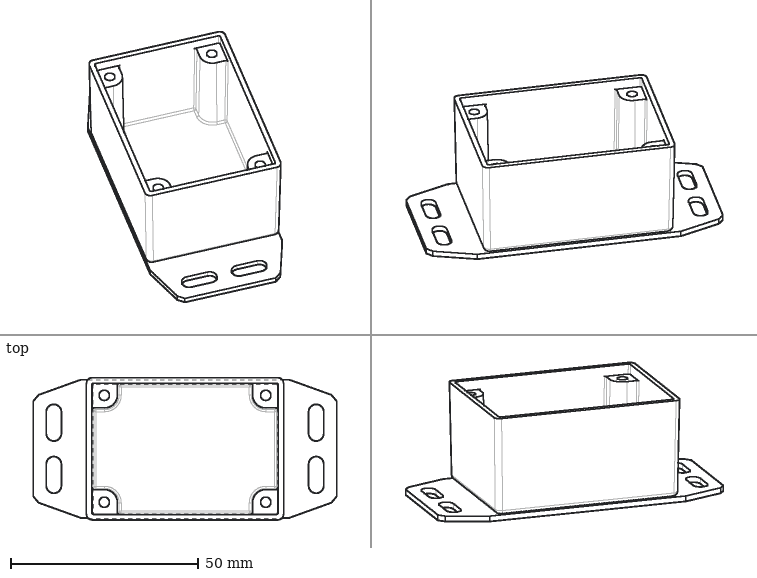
import cadquery as cq
import math

plate_length = 81.0
total_height = 28.5
plate_thickness = 1.5

plate_width = 36.95
wide_length = 55.6
chamfer_start_length = 78.1
chamfer_start_width = 28.85
end_width = 25.45

slot_width = 4.0
slot_length = 9.7
slot_spacing_x = 70.0
slot_spacing_y = 13.9

box_length = 52.6
box_width = 38.0
wall = 1.45
floor_thickness = 1.45
draft_angle = 1.0
corner_radius = 1.5
bottom_radius = 1.3

cavity_corner_radius = 0.5
floor_radius = 0.6

post_drop = 2.75
post_reach_x = 6.8
post_reach_y = 6.65
post_radius = 3.5
post_wall_radius = 0.5
hole_spacing_x = 43.1
hole_spacing_y = 28.5
hole_diameter = 2.75
hole_depth = 16.2
hole_tip_angle = 118.0

box_height = total_height - plate_thickness
cavity_length = box_length - 2 * wall
cavity_width = box_width - 2 * wall
floor_z = plate_thickness + floor_thickness
cavity_depth = total_height - floor_z
post_top_z = total_height - post_drop


def drafted_block(length, width, radius, bottom_z, height):
    """Round-cornered block narrowing downwards; length and width are at its top."""
    shrink = 2 * height * math.tan(math.radians(draft_angle))
    bottom = cq.Sketch().rect(length - shrink, width - shrink).vertices().fillet(radius)
    top = cq.Sketch().rect(length, width).vertices().fillet(radius)
    return (
        cq.Workplane("XY", origin=(0, 0, bottom_z))
        .placeSketch(bottom, top.moved(cq.Location(cq.Vector(0, 0, height))))
        .loft()
    )


def corner_points(spacing_x, spacing_y):
    return [(sx * spacing_x / 2, sy * spacing_y / 2) for sx in (-1, 1) for sy in (-1, 1)]


def make_plate():
    half_outline = [
        (-plate_length / 2, end_width / 2),
        (-chamfer_start_length / 2, chamfer_start_width / 2),
        (-wide_length / 2, plate_width / 2),
        (wide_length / 2, plate_width / 2),
        (chamfer_start_length / 2, chamfer_start_width / 2),
        (plate_length / 2, end_width / 2),
    ]
    other_half = [(-x, -y) for x, y in half_outline]
    plate = cq.Workplane("XY").polyline(half_outline + other_half).close().extrude(plate_thickness)
    slots = (
        cq.Workplane("XY")
        .pushPoints(corner_points(slot_spacing_x, slot_spacing_y))
        .slot2D(slot_length, slot_width, 90)
        .extrude(plate_thickness)
    )
    return plate.cut(slots)


def make_box():
    box = drafted_block(box_length, box_width, corner_radius, plate_thickness, box_height)
    return box.faces("<Z").edges().fillet(bottom_radius)


def make_posts():
    """Posts centred on the cavity corners and widening downwards."""
    height = post_top_z - floor_z
    growth = height * math.tan(math.radians(draft_angle))
    profile = (
        cq.Sketch()
        .rect(2 * (post_reach_x + growth), 2 * (post_reach_y + growth))
        .vertices()
        .fillet(post_radius + growth)
    )
    posts = cq.Workplane("XY")
    for x, y in corner_points(cavity_length, cavity_width):
        post = cq.Workplane("XY", origin=(x, y, floor_z)).placeSketch(profile)
        posts = posts.add(post.extrude(height, taper=draft_angle))
    return posts.combine()


def make_cavity():
    """Open space inside the box, with the posts already left out."""
    cavity = drafted_block(cavity_length, cavity_width, cavity_corner_radius, floor_z, cavity_depth)
    cavity = cavity.cut(make_posts())

    post_zone = cq.selectors.BoxSelector(
        (-box_length, -box_width, floor_z + floor_radius),
        (box_length, box_width, post_top_z - floor_radius),
    )
    away_from_walls = cq.selectors.BoxSelector(
        (-cavity_length / 2 + wall, -cavity_width / 2 + wall, floor_z),
        (cavity_length / 2 - wall, cavity_width / 2 - wall, total_height),
    )
    cavity = cavity.edges(post_zone - away_from_walls).fillet(post_wall_radius)
    return cavity.faces("<Z").edges().fillet(floor_radius)


def make_screw_holes():
    radius = hole_diameter / 2
    tip_depth = radius / math.tan(math.radians(hole_tip_angle / 2))
    profile = [(0, 0), (radius, 0), (radius, -hole_depth), (0, -hole_depth - tip_depth)]
    hole = cq.Workplane("XZ").polyline(profile).close().revolve(360, (0, 0), (0, 1))
    holes = cq.Workplane("XY")
    for x, y in corner_points(hole_spacing_x, hole_spacing_y):
        holes = holes.add(hole.translate((x, y, post_top_z)))
    return holes.combine()


result = make_plate().union(make_box()).cut(make_cavity()).cut(make_screw_holes())